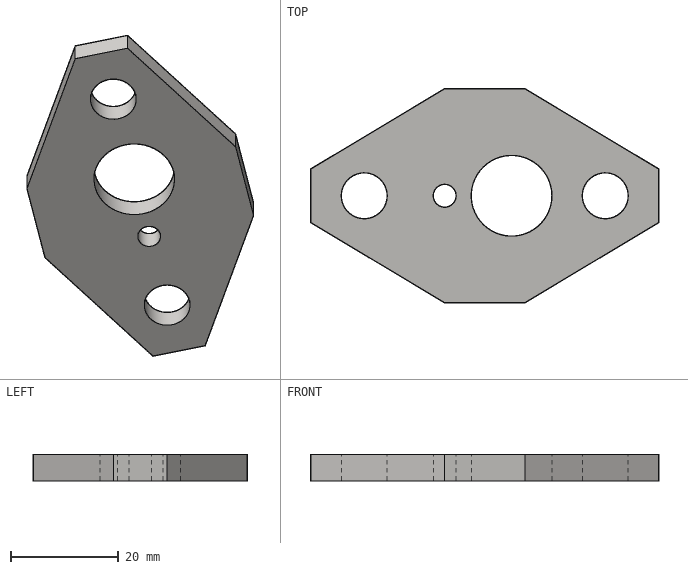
import cadquery as cq

length = 65.0
width = 40.0
thickness = 5.0
side_flat = 15.0
end_flat = 10.0

mount_diameter = 8.5
mount_offset = 22.5
bore_diameter = 15.0
bore_x = 5.0
pin_diameter = 4.2
pin_x = -7.5


def plate():
    """Octagonal plate with its bottom face at Z = 0."""
    quarter = [(length / 2, end_flat / 2), (side_flat / 2, width / 2)]
    upper = quarter + [(-x, y) for x, y in reversed(quarter)]
    lower = [(x, -y) for x, y in reversed(upper)]
    return cq.Workplane("XY").polyline(upper + lower).close().extrude(thickness)


def through_hole(x, diameter):
    """Cutter for a hole through the full thickness of the plate."""
    return cq.Workplane("XY").center(x, 0).circle(diameter / 2).extrude(thickness)


holes = [
    (-mount_offset, mount_diameter),
    (mount_offset, mount_diameter),
    (bore_x, bore_diameter),
    (pin_x, pin_diameter),
]

result = plate()
for hole_x, hole_diameter in holes:
    result = result.cut(through_hole(hole_x, hole_diameter))